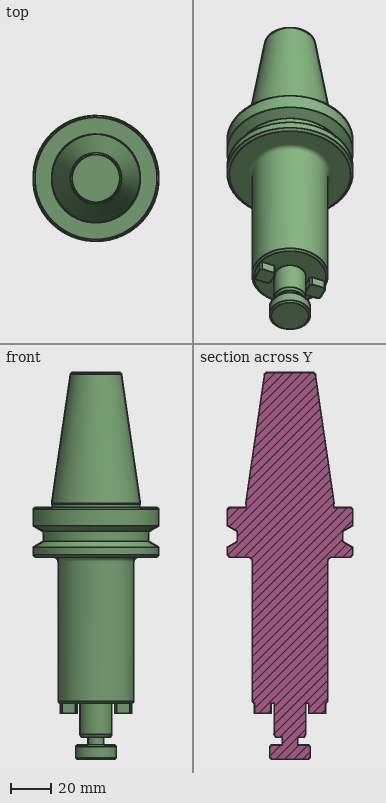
import cadquery as cq
import math


gauge_diameter = 44.45
taper_length = 65.4
taper_ratio = 7 / 24
taper_tip_chamfer = 0.8
neck_diameter = 44.0
neck_step = 0.6

flange_diameter = 63.0
flange_top = -2.0
flange_bottom = -27.0
flange_top_chamfer = 1.0
flange_bottom_chamfer = 1.2
groove_center = -16.6
groove_floor_diameter = 53.0
groove_floor_width = 5.0
groove_side_angle = 30.0

body_diameter = 38.0
body_bottom = -100.0
body_chamfer = 1.0
root_radius = 2.2

spigot_diameter = 16.0
spigot_length = 17.0
spigot_chamfer_width = 0.8
spigot_chamfer_height = 1.5

screw_diameter = 8.0
screw_head_diameter = 20.4
screw_head_height = 7.2
screw_head_chamfer = 0.9
arbor_bottom = -128.0

key_inner = 9.4
key_outer = 17.8
key_width = 8.0
key_height = 5.0
key_chamfer = 1.0


def turned_arbor():
    """Revolve the half outline of the arbor about Z."""
    gauge_radius = gauge_diameter / 2
    tip_radius = gauge_radius - taper_length * taper_ratio / 2
    shoulder_radius = tip_radius + taper_tip_chamfer * taper_ratio / 2
    neck_radius = neck_diameter / 2
    flange_radius = flange_diameter / 2
    floor_radius = groove_floor_diameter / 2
    floor_half = groove_floor_width / 2
    side_rise = (flange_radius - floor_radius) * math.tan(math.radians(groove_side_angle))
    mouth_half = floor_half + side_rise
    body_radius = body_diameter / 2
    root_middle = root_radius * (1 - math.sqrt(0.5))
    spigot_radius = spigot_diameter / 2
    spigot_bottom = body_bottom - spigot_length
    screw_radius = screw_diameter / 2
    head_radius = screw_head_diameter / 2
    head_top = arbor_bottom + screw_head_height

    outline = (
        cq.Workplane("XZ")
        .moveTo(0, taper_length)
        .lineTo(tip_radius - taper_tip_chamfer, taper_length)
        .lineTo(shoulder_radius, taper_length - taper_tip_chamfer)
        .lineTo(gauge_radius, 0)
        .lineTo(neck_radius, -neck_step)
        .lineTo(neck_radius, flange_top)
        .lineTo(flange_radius - flange_top_chamfer, flange_top)
        .lineTo(flange_radius, flange_top - flange_top_chamfer)
        .lineTo(flange_radius, groove_center + mouth_half)
        .lineTo(floor_radius, groove_center + floor_half)
        .lineTo(floor_radius, groove_center - floor_half)
        .lineTo(flange_radius, groove_center - mouth_half)
        .lineTo(flange_radius, flange_bottom + flange_bottom_chamfer)
        .lineTo(flange_radius - flange_bottom_chamfer, flange_bottom)
        .lineTo(body_radius + root_radius, flange_bottom)
        .threePointArc(
            (body_radius + root_middle, flange_bottom - root_middle),
            (body_radius, flange_bottom - root_radius),
        )
        .lineTo(body_radius, body_bottom + body_chamfer)
        .lineTo(body_radius - body_chamfer, body_bottom)
        .lineTo(spigot_radius, body_bottom)
        .lineTo(spigot_radius, spigot_bottom + spigot_chamfer_height)
        .lineTo(spigot_radius - spigot_chamfer_width, spigot_bottom)
        .lineTo(screw_radius, spigot_bottom)
        .lineTo(screw_radius, head_top)
        .lineTo(head_radius - screw_head_chamfer, head_top)
        .lineTo(head_radius, head_top - screw_head_chamfer)
        .lineTo(head_radius, arbor_bottom + screw_head_chamfer)
        .lineTo(head_radius - screw_head_chamfer, arbor_bottom)
        .lineTo(0, arbor_bottom)
        .close()
    )
    return outline.revolve(360, (0, 0, 0), (0, 1, 0))


def driving_key(side):
    """Key under the body; side is +1 for the +X key and -1 for the -X key."""
    return (
        cq.Workplane("XY", origin=(side * (key_inner + key_outer) / 2, 0, body_bottom))
        .rect(key_outer - key_inner, key_width)
        .extrude(-key_height)
        .edges("|Z")
        .chamfer(key_chamfer)
    )


result = turned_arbor()
for side in (-1, 1):
    result = result.union(driving_key(side))